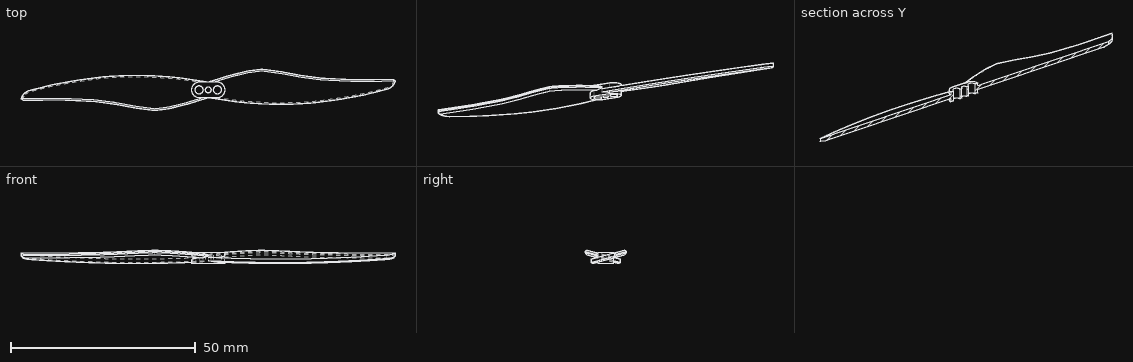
import cadquery as cq

span = 101.2
tip_x = span / 2
height = 3.6
half_height = height / 2
overall_width = 11.2
chord_peak = overall_width / 2
chord_low = 3.9
lowered_edge_top = -0.6
raised_bevel = 0.5
lowered_bevel = 0.4
blade_slope = (half_height - lowered_edge_top) / (chord_peak - raised_bevel + chord_low)
lowered_edge_bottom = -half_height - lowered_bevel * blade_slope

hub_length = 9.0
hub_width = 4.3
hub_top = 1.2
bolt_spacing = 5.0
bolt_diameter = 2.1
shaft_diameter = 1.5


def tilted_sheet():
    """Flat tilted sheet running along +X, wider than the blade trimmed from it."""
    half_width = 2 * chord_peak
    rise = blade_slope * half_width
    middle_top = lowered_edge_top + blade_slope * chord_low
    middle_bottom = lowered_edge_bottom + blade_slope * chord_low
    return (
        cq.Workplane("YZ")
        .moveTo(-half_width, middle_top - rise)
        .lineTo(half_width, middle_top + rise)
        .lineTo(half_width, middle_bottom + rise)
        .lineTo(-half_width, middle_bottom - rise)
        .close()
        .extrude(tip_x)
    )


def blade_outline():
    """Plan outline: swept raised edge, pointed tip, bowed lowered edge."""
    root = hub_width / 2
    crest = (14.5, chord_peak)
    tip_corner = (50.0, 2.8)
    tip_end = (tip_x, 2.4)
    tip_bow = (49.8, 1.0)
    tip_low = (48.2, 0.1)
    return (
        cq.Workplane("XY", origin=(0, 0, -height))
        .moveTo(0, -root)
        .lineTo(0, root)
        .spline([(5.5, 3.8), (10.3, 5.1), crest], includeCurrent=True)
        .spline([(20.1, 4.9), (27.4, 3.5), (34.7, 2.9), (42.1, 2.7), tip_corner], includeCurrent=True)
        .lineTo(*tip_end)
        .threePointArc(tip_bow, tip_low)
        .spline([(42.1, -1.4), (34.7, -2.7), (27.4, -3.6), (18.7, -chord_low), (10.3, -3.5), (0, -root)],
                includeCurrent=True)
        .close()
        .extrude(2 * height)
    )


def long_edges(body, face_direction, side):
    """Long edges of the sheet face turned up (+1) or down (-1), on the +Y (+1) or -Y (-1) side."""
    steep_limit = 0.5
    min_offset = hub_width / 4
    faces = [
        face for face in body.faces("%PLANE").vals()
        if face_direction * face.normalAt().z > steep_limit
    ]
    return [
        edge for edge in faces[0].Edges()
        if side * edge.Center().y > min_offset and edge.Length() > hub_length
    ]


def blade():
    """One blade: a trimmed sheet with beveled long edges."""
    body = tilted_sheet().intersect(blade_outline())
    raised_edges = long_edges(body, 1, 1) + long_edges(body, -1, 1)
    body = body.newObject(raised_edges).chamfer(raised_bevel)
    return body.newObject(long_edges(body, -1, -1)).chamfer(lowered_bevel)


right_blade = blade()
left_blade = right_blade.rotate((0, 0, 0), (0, 0, 1), 180)
hub = (
    cq.Workplane("XY", origin=(0, 0, -half_height))
    .slot2D(hub_length, hub_width)
    .extrude(half_height + hub_top)
)
bolt_holes = (
    cq.Workplane("XY", origin=(0, 0, -height))
    .pushPoints([(-bolt_spacing / 2, 0), (bolt_spacing / 2, 0)])
    .circle(bolt_diameter / 2)
    .extrude(2 * height)
)
shaft_hole = cq.Workplane("XY", origin=(0, 0, -height)).circle(shaft_diameter / 2).extrude(2 * height)

result = hub.union(right_blade).union(left_blade).cut(bolt_holes).cut(shaft_hole)